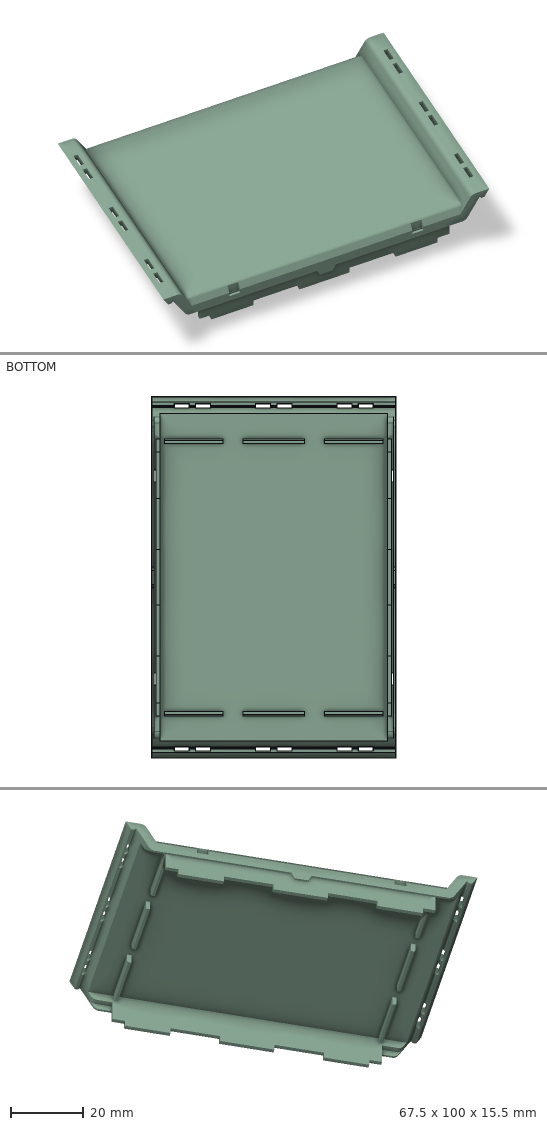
import cadquery as cq
import math

WIDTH = 67.5
LENGTH = 100.0
HEIGHT = 15.5
half_width = WIDTH / 2
half_length = LENGTH / 2

ARM_ANGLE = 60.0
ARM_THICKNESS = 3.0
BEND_RADIUS = 2.0
ARM_INNER_CORNER = 44.7
LIP_BOTTOM = 12.9
LIP_INNER = 47.5
FLANGE_BOTTOM = 13.4
FLANGE_NOTCH = 47.2
arm_run = 1 / math.tan(math.radians(ARM_ANGLE))
arm_outer_corner = ARM_INNER_CORNER + ARM_THICKNESS / math.sin(math.radians(ARM_ANGLE))

PLATE_TOP = 11.4
PLATE_BOTTOM = 10.5
RAIL_BOTTOM = 8.0
STRIP_BOTTOM = 6.2

RAIL_INNER = 31.4
STRIP_INNER = 33.1

EDGE_ROUND_START = 31.5
EDGE_ROUND_END = 32.5
EDGE_ROUND_RADIUS = 1.5
BEVEL_BOTTOM = 9.3

NOTCH_LENGTH = 3.3
NOTCH_DEPTH = half_width - EDGE_ROUND_END
NOTCH_PLACE = 28.1

BUMP_BOTTOM = 4.3
BUMP_HALF_TOP = 2.9
BUMP_HALF_BOTTOM = 1.9

SKIRT_THICKNESS = 1.2
SKIRT_HALF_LENGTH = 38.3
FOOT_HEIGHT = 1.8
MIDDLE_FOOT_HALF = 7.7
END_FOOT_NEAR = 21.8
END_FOOT_FAR = 34.7

RIB_BOTTOM = 7.7
RIB_THICKNESS = SKIRT_THICKNESS
RIB_BEVEL = 0.4
MIDDLE_RIB_WIDTH = 17.0
END_RIB_WIDTH = 16.2
END_RIB_PLACE = 22.1

SLOT_LENGTH = 4.1
SLOT_GAP = 1.8
SLOT_PAIR_PITCH = 22.5
SLOT_INNER = 46.9
SLOT_OUTER_TOP = 48.2
SLOT_OUTER_BOTTOM = 48.0


def arm_y(corner, z):
    """Y at height z on the arm face that would meet the flange top at the given corner."""
    return corner - (HEIGHT - z) * arm_run


def block(x0, x1, y0, y1, z0, z1):
    """Box between opposite corners."""
    return cq.Workplane("XY").box(x1 - x0, y1 - y0, z1 - z0, centered=False).translate((x0, y0, z0))


def extrude_along_x(points, x0, x1):
    """Closed (Y, Z) outline extruded from x0 to x1."""
    return cq.Workplane("YZ", origin=(x0, 0, 0)).polyline(points).close().extrude(x1 - x0)


def both_sides(shape, plane):
    """The shape together with its mirror image."""
    return shape.union(shape.mirror(plane))


def tray_layer(bottom, x_half):
    """Tray profile with the given underside height, centered on X and x_half wide each way."""
    end_outline = [
        (arm_y(arm_outer_corner, bottom), bottom),
        (arm_y(arm_outer_corner, FLANGE_BOTTOM), FLANGE_BOTTOM),
        (FLANGE_NOTCH, FLANGE_BOTTOM),
        (LIP_INNER, LIP_BOTTOM),
        (arm_y(half_length, LIP_BOTTOM), LIP_BOTTOM),
        (half_length, HEIGHT),
        (ARM_INNER_CORNER, HEIGHT),
        (arm_y(ARM_INNER_CORNER, PLATE_TOP), PLATE_TOP),
    ]
    outline = end_outline + [(-y, z) for y, z in reversed(end_outline)]
    layer = extrude_along_x(outline, -x_half, x_half)
    for y_side in (1, -1):
        top_bend = cq.selectors.NearestToPointSelector((0, y_side * ARM_INNER_CORNER, HEIGHT))
        layer = layer.edges(top_bend).fillet(BEND_RADIUS)
        if bottom < PLATE_BOTTOM:
            corner = (0, y_side * arm_y(arm_outer_corner, bottom), bottom)
            layer = layer.edges(cq.selectors.NearestToPointSelector(corner)).fillet(BEND_RADIUS)
    return layer


def tray_body():
    """Thin plate in the middle, deeper rails at the sides and the deepest strips outside."""
    strips = tray_layer(STRIP_BOTTOM, half_width)
    strips = strips.cut(block(-STRIP_INNER, STRIP_INNER, -half_length, half_length, 0, HEIGHT))
    rails = tray_layer(RAIL_BOTTOM, STRIP_INNER)
    rails = rails.cut(block(-RAIL_INNER, RAIL_INNER, -half_length, half_length, 0, HEIGHT))
    return tray_layer(PLATE_BOTTOM, RAIL_INNER).union(rails).union(strips)


def edge_bevel_cutter():
    """Material removed above the rounded and beveled +X edge, ending on the inner arm faces."""
    round_drop = EDGE_ROUND_RADIUS - math.sqrt(
        EDGE_ROUND_RADIUS**2 - (EDGE_ROUND_END - EDGE_ROUND_START) ** 2
    )
    removed = (
        cq.Workplane("XZ", origin=(0, half_length, 0))
        .moveTo(EDGE_ROUND_START, PLATE_TOP)
        .radiusArc((EDGE_ROUND_END, PLATE_TOP - round_drop), EDGE_ROUND_RADIUS)
        .lineTo(half_width, BEVEL_BOTTOM)
        .lineTo(half_width, PLATE_TOP)
        .close()
        .extrude(LENGTH)
    )
    bottom_y = arm_y(ARM_INNER_CORNER, BEVEL_BOTTOM)
    top_y = arm_y(ARM_INNER_CORNER, PLATE_TOP)
    between_arms = extrude_along_x(
        [(-bottom_y, BEVEL_BOTTOM), (bottom_y, BEVEL_BOTTOM), (top_y, PLATE_TOP), (-top_y, PLATE_TOP)],
        0,
        half_width,
    )
    return removed.intersect(between_arms)


def edge_notch():
    """Notch cut into the +X edge on the +Y half."""
    y0 = NOTCH_PLACE - NOTCH_LENGTH / 2
    return block(half_width - NOTCH_DEPTH, half_width, y0, y0 + NOTCH_LENGTH, RAIL_BOTTOM, PLATE_TOP)


def bump():
    """Tapered bump under the +X outer strip."""
    outline = [
        (-BUMP_HALF_TOP, STRIP_BOTTOM),
        (-BUMP_HALF_BOTTOM, BUMP_BOTTOM),
        (BUMP_HALF_BOTTOM, BUMP_BOTTOM),
        (BUMP_HALF_TOP, STRIP_BOTTOM),
    ]
    return extrude_along_x(outline, STRIP_INNER, half_width)


def skirt():
    """+X skirt wall standing on three feet."""
    outer = RAIL_INNER + SKIRT_THICKNESS
    wall = block(RAIL_INNER, outer, -SKIRT_HALF_LENGTH, SKIRT_HALF_LENGTH, FOOT_HEIGHT, RAIL_BOTTOM)
    middle_foot = block(RAIL_INNER, outer, -MIDDLE_FOOT_HALF, MIDDLE_FOOT_HALF, 0, FOOT_HEIGHT)
    end_foot = block(RAIL_INNER, outer, END_FOOT_NEAR, END_FOOT_FAR, 0, FOOT_HEIGHT)
    return wall.union(middle_foot).union(both_sides(end_foot, "XZ"))


def end_rib(x_center, width):
    """Rib under the +Y end of the plate, beveled along its outer bottom edge."""
    outer = SKIRT_HALF_LENGTH
    outline = [
        (outer - RIB_THICKNESS, PLATE_BOTTOM),
        (outer - RIB_THICKNESS, RIB_BOTTOM),
        (outer - RIB_BEVEL, RIB_BOTTOM),
        (outer, RIB_BOTTOM + RIB_BEVEL),
        (outer, PLATE_BOTTOM),
    ]
    return extrude_along_x(outline, x_center - width / 2, x_center + width / 2)


def flange_slot(x_center):
    """Slot through the +Y flange."""
    outline = [
        (SLOT_INNER, LIP_BOTTOM),
        (SLOT_OUTER_BOTTOM, LIP_BOTTOM),
        (SLOT_OUTER_TOP, HEIGHT),
        (SLOT_INNER, HEIGHT),
    ]
    return extrude_along_x(outline, x_center - SLOT_LENGTH / 2, x_center + SLOT_LENGTH / 2)


result = tray_body()
result = result.cut(both_sides(edge_bevel_cutter(), "YZ"))
result = result.cut(both_sides(both_sides(edge_notch(), "XZ"), "YZ"))
result = result.union(both_sides(bump().union(skirt()), "YZ"))

rib_layout = [
    (-END_RIB_PLACE, END_RIB_WIDTH),
    (0, MIDDLE_RIB_WIDTH),
    (END_RIB_PLACE, END_RIB_WIDTH),
]
for rib_center, rib_width in rib_layout:
    result = result.union(both_sides(end_rib(rib_center, rib_width), "XZ"))

slot_offset = (SLOT_GAP + SLOT_LENGTH) / 2
for pair_center in (-SLOT_PAIR_PITCH, 0, SLOT_PAIR_PITCH):
    for slot_center in (pair_center - slot_offset, pair_center + slot_offset):
        result = result.cut(both_sides(flange_slot(slot_center), "XZ"))